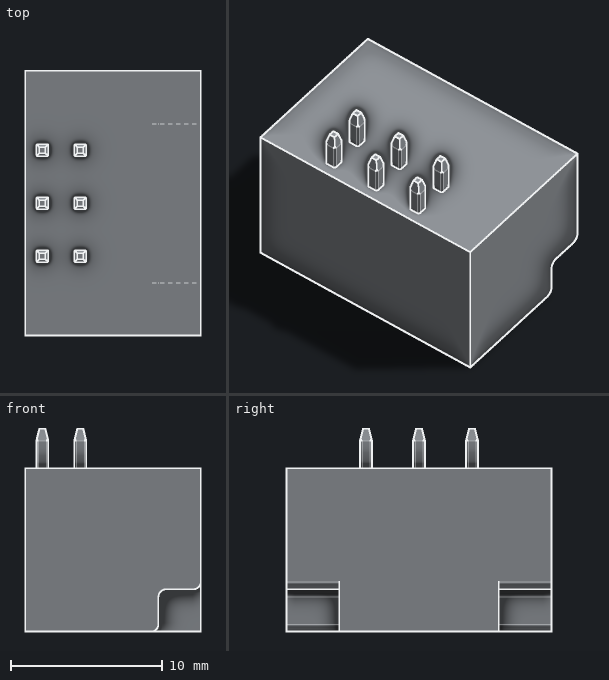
import cadquery as cq

length_y = 17.5
width_x = 11.6
body_height = 10.8
total_height = 13.4

recess_depth = 3.5
recess_size = 2.8
recess_radius = 0.5

columns_x = 2
rows_y = 3
column_pitch = 2.5
row_pitch = 3.5
first_column_inset = 1.14
pin_width = 0.8
pin_edge_radius = 0.14
tip_width = 0.4
tip_height = 0.8

pin_height = total_height - body_height
shank_height = pin_height - tip_height
left_x = -width_x / 2
right_x = width_x / 2


def make_body():
    """Plain block with its bottom face at Z = 0."""
    return cq.Workplane("XY").box(width_x, length_y, body_height, centered=(True, True, False))


def make_end_recess(start_y):
    """Corner recess with a rounded inner corner and rounded lips, running in +Y from start_y."""
    wall_x = right_x - recess_size
    r = recess_radius
    return (
        cq.Workplane("XZ", origin=(0, start_y, 0))
        .moveTo(right_x, 0)
        .lineTo(wall_x - r, 0)
        .radiusArc((wall_x, r), -r)
        .lineTo(wall_x, recess_size - r)
        .radiusArc((wall_x + r, recess_size), r)
        .lineTo(right_x - r, recess_size)
        .radiusArc((right_x, recess_size + r), -r)
        .close()
        .extrude(-recess_depth)
    )


def make_pin(x, y):
    """Square pin with rounded upright edges and a tip tapering on all four sides."""
    post = (
        cq.Workplane("XY", origin=(x, y, body_height))
        .rect(pin_width, pin_width)
        .extrude(pin_height)
        .edges("|Z")
        .fillet(pin_edge_radius)
    )
    square_shank = (
        cq.Workplane("XY", origin=(x, y, body_height))
        .rect(pin_width, pin_width)
        .extrude(shank_height)
    )
    tapered_envelope = (
        square_shank.faces(">Z")
        .workplane()
        .rect(pin_width, pin_width)
        .workplane(offset=tip_height)
        .rect(tip_width, tip_width)
        .loft(combine=True)
    )
    return post.intersect(tapered_envelope)


result = make_body()
for end_start in (-length_y / 2, length_y / 2 - recess_depth):
    result = result.cut(make_end_recess(end_start))

for column in range(columns_x):
    for row in range(rows_y):
        pin_x = left_x + first_column_inset + column * column_pitch
        pin_y = (row - (rows_y - 1) / 2) * row_pitch
        result = result.union(make_pin(pin_x, pin_y))